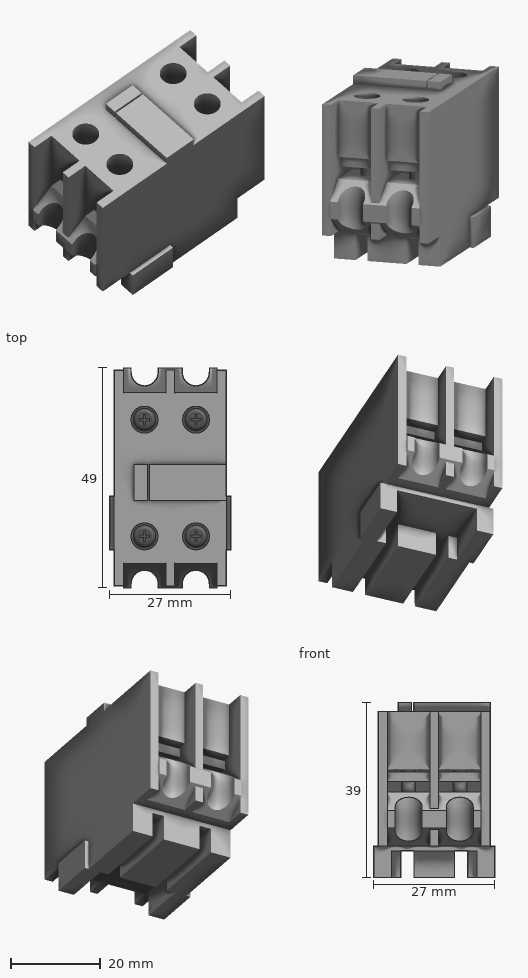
import cadquery as cq


housing_width = 25.0
housing_length = 48.0
housing_height = 30.0
wall = 2.05
rib_width = 1.9
inner_width = housing_width - 2 * wall
bay_width = (inner_width - rib_width) / 2
bay_center = (rib_width + bay_width) / 2
bay_wall_y = 19.0

lug_tip_y = 24.5
lug_tip_low = 4.0
lug_tip_high = 8.0
lug_top = 12.0
wire_radius = 3.0
wire_depth = 3.95

chamber_top = 17.0
chamber_back_y = 9.0
plate_front_y = 17.0
plate_bottom = 14.4
plate_thickness = 2.1

screw_x = 5.75
screw_y = 13.0
screw_hole_radius = 3.0
shank_radius = 1.5
head_radius = 2.5
head_height = 2.0
head_rounding = 1.0
cross_length = 2.25
cross_width = 0.55
cross_depth = 1.0

slider_height = 2.0
slider_front_y = -5.0
slider_back_y = 3.0
button_left = -8.05
button_right = -5.05
cover_left = -4.6

foot_height = 7.0
foot_half_length = 15.95
clip_width = 27.0
clip_back_y = -4.0
clip_gap = 19.1
clip_web = 1.05
channel_inner_x = 4.55
channel_outer_x = 7.45


def block(x_range, y_range, z_range):
    """Box between the given limits along each axis."""
    size = [high - low for low, high in (x_range, y_range, z_range)]
    corner = (x_range[0], y_range[0], z_range[0])
    return cq.Workplane("XY").box(*size, centered=False).translate(corner)


def centered_range(width, center=0.0):
    return center - width / 2, center + width / 2


def both_ends(shape):
    """The shape at the +Y end together with its mirror image at the -Y end."""
    return shape.union(shape.mirror("XZ"))


def make_housing():
    housing = block(
        centered_range(housing_width),
        centered_range(housing_length),
        (0, housing_height),
    )
    for side in (-1, 1):
        bay_x = centered_range(bay_width, side * bay_center)
        bay = block(bay_x, (bay_wall_y, lug_tip_y), (0, housing_height))
        chamber = block(bay_x, (chamber_back_y, bay_wall_y), (lug_top, chamber_top))
        housing = housing.cut(both_ends(bay)).cut(both_ends(chamber))
    return housing


def make_lugs():
    """Tapered lug across the housing, with a round-ended wire notch per pole."""
    profile = [
        (bay_wall_y, 0),
        (lug_tip_y, lug_tip_low),
        (lug_tip_y, lug_tip_high),
        (bay_wall_y, lug_top),
    ]
    lug = (
        cq.Workplane("YZ")
        .polyline(profile)
        .close()
        .extrude(inner_width / 2, both=True)
    )
    notch_center_y = lug_tip_y - wire_depth + wire_radius
    for side in (-1, 1):
        notch_x = side * bay_center
        round_end = (
            cq.Workplane("XY")
            .center(notch_x, notch_center_y)
            .circle(wire_radius)
            .extrude(lug_top)
        )
        mouth = block(
            centered_range(2 * wire_radius, notch_x),
            (notch_center_y, lug_tip_y),
            (0, lug_top),
        )
        lug = lug.cut(round_end).cut(mouth)
    return both_ends(lug)


def make_clamp_plates():
    plate = block(
        centered_range(inner_width),
        (chamber_back_y, plate_front_y),
        (plate_bottom, plate_bottom + plate_thickness),
    )
    return both_ends(plate)


def make_screw():
    """Cross-head screw standing on the chamber floor, axis on Z."""
    shank = (
        cq.Workplane("XY")
        .workplane(offset=lug_top)
        .circle(shank_radius)
        .extrude(chamber_top - lug_top)
    )
    head = (
        cq.Workplane("XY")
        .workplane(offset=chamber_top)
        .circle(head_radius)
        .extrude(head_height)
        .faces(">Z")
        .edges()
        .fillet(head_rounding)
    )
    head_top = chamber_top + head_height
    cross_z = (head_top - cross_depth, head_top)
    long_range = centered_range(cross_length)
    short_range = centered_range(cross_width)
    head = head.cut(block(long_range, short_range, cross_z))
    head = head.cut(block(short_range, long_range, cross_z))
    return shank.union(head)


def make_slider():
    slider_y = (slider_front_y, slider_back_y)
    slider_z = (housing_height, housing_height + slider_height)
    button = block((button_left, button_right), slider_y, slider_z)
    cover = block((cover_left, housing_width / 2), slider_y, slider_z)
    return button.union(cover)


def make_foot():
    """Foot with two lengthwise channels, and a bridge-shaped clip at its front."""
    foot_z = (-foot_height, 0)
    channel_z = (-foot_height, -clip_web)
    clip_y = (-foot_half_length, clip_back_y)
    foot_y = (clip_back_y, foot_half_length)
    foot = block(centered_range(housing_width), foot_y, foot_z)
    channel = block((channel_inner_x, channel_outer_x), foot_y, channel_z)
    foot = foot.cut(channel).cut(channel.mirror("YZ"))
    clip = block(centered_range(clip_width), clip_y, foot_z)
    clip = clip.cut(block(centered_range(clip_gap), clip_y, channel_z))
    return foot.union(clip)


screw_places = [(x, y) for x in (-screw_x, screw_x) for y in (-screw_y, screw_y)]

screw_holes = (
    cq.Workplane("XY")
    .workplane(offset=chamber_top)
    .pushPoints(screw_places)
    .circle(screw_hole_radius)
    .extrude(housing_height - chamber_top)
)

result = make_housing().cut(screw_holes)
result = result.union(make_lugs()).union(make_clamp_plates())
for x, y in screw_places:
    result = result.union(make_screw().translate((x, y, 0)))
result = result.union(make_slider()).union(make_foot())